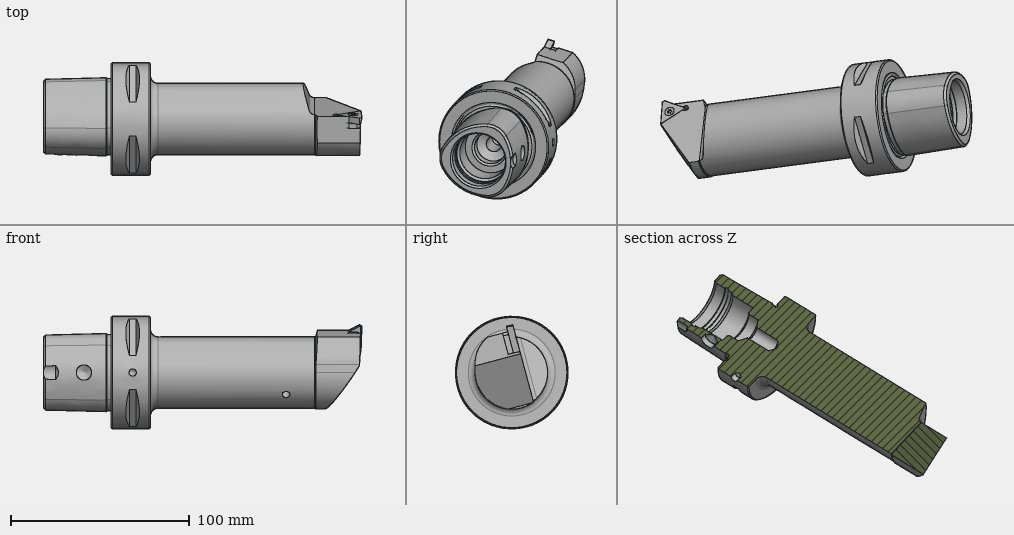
import cadquery as cq
import math

flange_face = 37.7
polygon_end = 35.6
lobe_reach = 23.23
flat_reach = 20.6
lobe_radius = 13.4
taper_angle = math.degrees(math.atan(0.05 / 2))
shank_front_chamfer = 1.2
shank_rear_chamfer = 0.5
neck_step = 0.5
face_groove_radius = 23.1
face_groove_size = 1.0

mouth_radius = 16.0
entry_radius = 15.1
grip_bore_radius = 28.0 / 2
socket_mouth_radius = 10.1
socket_radius = 18.0 / 2
coolant_radius = 8.5 / 2
mouth_chamfer_depth = 1.8
grip_groove_start = 7.8
grip_groove_end = 10.3
grip_cone_start = 12.6
grip_bore_start = 14.6
bore_floor = 28.5
socket_chamfer_depth = 1.0
socket_end = 35.6
coolant_end = 53.4
drill_point_angle = 118.0

cross_hole_diameter = 8.5
cross_hole_x = 22.6
cross_hole_depth = 4.0
notch_end = 6.8
notch_diameter = 12.5
notch_axis_y = -24.5
notch_point_angle = 90.0
chip_hole_diameter = 4.1
chip_hole_depth = 3.5

flange_diameter = 63.0
flange_width = 22.0
flange_chamfer = 0.7
grip_slot_x = 49.8
grip_slot_floor_width = 3.5
grip_slot_floor = 28.0
grip_slot_angle = 60.0
grip_slot_count = 4

bar_diameter = 40.0
bar_fillet = 4.3
bar_end = 151.5
side_hole_diameter = 4.3
side_hole_x = 135.6
side_hole_angle = 38.0
side_hole_depth = 10.7

head_tilt = 15.0
head_end = 177.3
face_offset = 7.5
head_top = 22.6
land_width = 15.3
head_radius = 20.5
side_flat_top = 4.6
side_arc_radius = 18.7
collar_end = 152.0
cone_rise = 5.0
cone_length = 1.5
end_clearance = 1.0
relief_foot = (157.5, -19.2)
relief_head = (176.5, 8.9)
runout_angle = 18.0
runout_start = 149.2
runout_fillet = 3.2

insert_side = 16.5
insert_tip = (178.0, 25.0)
insert_turn = 2.0
insert_thickness = 3.7
insert_clearance = 12.0
shim_thickness = 3.0
nose_flat = 1.6
shim_end = 176.8
shim_bevel = (175.2, 21.0)
screw_head_diameter = 5.5
screw_diameter = 3.2
screw_head_height = 1.8
screw_length = 10.7
socket_diameter = 2.5
socket_depth = 0.9
corner_relief_diameter = 3.2

flange_radius = flange_diameter / 2
bar_radius = bar_diameter / 2
flange_back = flange_face + flange_width


def polar(radius, degrees):
    """Point at a radius and an angle from the local x axis."""
    angle = math.radians(degrees)
    return (radius * math.cos(angle), radius * math.sin(angle))


def tilted(shape):
    """Turn a shape built upright, cutting side towards +Y, to the lean of the head."""
    return shape.rotate((0, 0, 0), (1, 0, 0), head_tilt)


def across_section(x):
    """Plane square to X, its local axes along Y and Z."""
    return cq.Workplane("YZ", origin=(x, 0, 0))


def drill(diameter, depth, point_angle=drill_point_angle):
    """Drill along +Z from the origin to a depth, with its point beyond."""
    radius = diameter / 2
    point = radius / math.tan(math.radians(point_angle / 2))
    outline = [(0, 0), (radius, 0), (radius, depth), (0, depth + point)]
    return cq.Workplane("XZ").polyline(outline).close().revolve(360, (0, 0, 0), (0, 1, 0))


def lobed_outline(x, inset):
    """Closed outline at x of three lobe arcs and three flatter arcs, joined tangentially."""
    lobe_tip = lobe_reach - inset
    side_middle = flat_reach - inset
    radius = lobe_radius - inset
    lobe_centre = lobe_tip - radius
    gap = side_middle - radius
    side_centre = (lobe_centre**2 - gap**2) / (2 * gap - lobe_centre)
    side_x, side_y = polar(side_centre, 240)
    joint_dx, joint_dy = polar(radius, math.degrees(math.atan2(-side_y, lobe_centre - side_x)))
    joint_reach = math.hypot(lobe_centre + joint_dx, joint_dy)
    joint = math.degrees(math.atan2(joint_dy, lobe_centre + joint_dx))

    outline = across_section(x).moveTo(*polar(joint_reach, -joint))
    for lobe in (0, 120, 240):
        outline = outline.threePointArc(polar(lobe_tip, lobe), polar(joint_reach, lobe + joint))
        outline = outline.threePointArc(
            polar(side_middle, lobe + 60), polar(joint_reach, lobe + 120 - joint)
        )
    return outline.close()


def shank():
    body = lobed_outline(polygon_end, 0).extrude(-polygon_end, taper=taper_angle)
    body = body.faces("<X").chamfer(shank_front_chamfer)
    body = body.faces(">X").chamfer(shank_rear_chamfer)
    neck = lobed_outline(polygon_end, neck_step).extrude(flange_face - polygon_end)
    return body.union(neck)


def flange_and_bar():
    bar_fillet_end = flange_back + bar_fillet
    slant = math.sqrt(0.5)
    profile = (
        cq.Workplane("XY")
        .moveTo(flange_face, 0)
        .lineTo(flange_face, flange_radius - flange_chamfer)
        .lineTo(flange_face + flange_chamfer, flange_radius)
        .lineTo(flange_back - flange_chamfer, flange_radius)
        .lineTo(flange_back, flange_radius - flange_chamfer)
        .lineTo(flange_back, bar_radius + bar_fillet)
        .threePointArc(
            (bar_fillet_end - bar_fillet * slant, bar_radius + bar_fillet * (1 - slant)),
            (bar_fillet_end, bar_radius),
        )
        .lineTo(bar_end, bar_radius)
        .lineTo(bar_end, 0)
        .close()
    )
    body = profile.revolve(360, (0, 0, 0), (1, 0, 0))
    ring_groove = (
        cq.Workplane("XY", origin=(flange_face, face_groove_radius, 0))
        .circle(face_groove_size)
        .revolve(360, (0, -face_groove_radius, 0), (1, -face_groove_radius, 0))
    )
    return body.cut(ring_groove)


def runout():
    """Flat along the cutting side, ending in a leaning wall with a filleted root."""
    wall_rise = 26.7
    wall_run = wall_rise * math.tan(math.radians(runout_angle))
    outline = [
        (runout_start, face_offset),
        (head_end + 8.9, face_offset),
        (head_end + 8.9, face_offset + wall_rise),
        (runout_start - wall_run, face_offset + wall_rise),
    ]
    cutter = cq.Workplane("XY").polyline(outline).close().extrude(35.6, both=True)
    root = cq.selectors.NearestToPointSelector((runout_start, face_offset, 0))
    return tilted(cutter.edges("|Z").edges(root).fillet(runout_fillet))


def bore():
    profile = [
        (0, 0),
        (0, mouth_radius),
        (mouth_chamfer_depth, entry_radius),
        (grip_groove_start, entry_radius),
        (grip_groove_start, mouth_radius),
        (grip_groove_end, mouth_radius),
        (grip_groove_end, entry_radius),
        (grip_cone_start, entry_radius),
        (grip_bore_start, grip_bore_radius),
        (bore_floor, grip_bore_radius),
        (bore_floor, socket_mouth_radius),
        (bore_floor + socket_chamfer_depth, socket_radius),
        (socket_end, socket_radius),
    ]
    point_slope = math.tan(math.radians(drill_point_angle / 2))
    coolant_start = socket_end + (socket_radius - coolant_radius) / point_slope
    profile += [
        (coolant_start, coolant_radius),
        (coolant_end, coolant_radius),
        (coolant_end + coolant_radius / point_slope, 0),
    ]
    return cq.Workplane("XY").polyline(profile).close().revolve(360, (0, 0, 0), (1, 0, 0))


def side_drill(diameter, depth, x, surface, below=0):
    """Drill into the -Y side at x, from a surface at a distance from the axis."""
    start = 3.5
    tool = drill(diameter, start + depth).rotate((0, 0, 0), (1, 0, 0), -90)
    return tool.translate((x, -surface - start, 0)).rotate((0, 0, 0), (1, 0, 0), below)


def keyway_notch():
    tool = drill(notch_diameter, notch_end, notch_point_angle).rotate((0, 0, 0), (0, 1, 0), 90)
    return tool.translate((0, notch_axis_y, 0))


def grip_slots():
    depth = flange_radius - grip_slot_floor + 1.8
    half_floor = grip_slot_floor_width / 2
    half_top = half_floor + depth * math.tan(math.radians(grip_slot_angle / 2))
    outline = [(-half_floor, 0), (half_floor, 0), (half_top, depth), (-half_top, depth)]
    slot = (
        cq.Workplane("XZ")
        .polyline(outline)
        .close()
        .extrude(flange_radius, both=True)
        .translate((grip_slot_x, 0, grip_slot_floor))
    )
    step = 360 / grip_slot_count
    return [slot.rotate((0, 0, 0), (1, 0, 0), (i + 0.5) * step) for i in range(grip_slot_count)]


def adapter():
    body = flange_and_bar().union(shank()).cut(runout()).cut(bore())
    body = body.cut(side_drill(cross_hole_diameter, cross_hole_depth, cross_hole_x, flat_reach))
    body = body.cut(side_drill(chip_hole_diameter, chip_hole_depth, grip_slot_x, flange_radius))
    body = body.cut(
        side_drill(side_hole_diameter, side_hole_depth, side_hole_x, bar_radius, side_hole_angle)
    )
    body = body.cut(keyway_notch())
    for slot in grip_slots():
        body = body.cut(slot)
    return body


def end_trim(corner, lean_across, lean_up):
    """Space in front of a face that leans back from a corner, given as X and height."""
    corner_x, corner_z = corner
    space = (
        cq.Workplane("XY")
        .box(17.8, 106.8, 106.8, centered=(False, True, True))
        .rotate((0, 0, 0), (0, 0, 1), -lean_across)
        .rotate((0, 0, 0), (0, 1, 0), lean_up)
        .translate((corner_x, face_offset, corner_z))
    )
    return tilted(space)


def head_blank():
    def section_point(across, up):
        """World Y and Z of a point given in the tilted head."""
        angle = math.radians(head_tilt)
        return (
            across * math.cos(angle) - up * math.sin(angle),
            across * math.sin(angle) + up * math.cos(angle),
        )

    face_foot = section_point(face_offset, -math.sqrt(head_radius**2 - face_offset**2))
    face_top = section_point(face_offset, head_top)
    land_end = section_point(face_offset - land_width, head_top)
    side_top = (-head_radius, side_flat_top)
    block = (
        across_section(bar_end)
        .moveTo(*face_foot)
        .lineTo(*face_top)
        .lineTo(*land_end)
        .radiusArc(side_top, -side_arc_radius)
        .lineTo(-head_radius, 0)
        .threePointArc(polar(head_radius, 230), face_foot)
        .close()
        .extrude(head_end - bar_end)
    )

    envelope = (
        cq.Workplane("XY")
        .moveTo(bar_end, 0)
        .lineTo(bar_end, bar_radius)
        .lineTo(collar_end, bar_radius)
        .lineTo(collar_end + cone_length, bar_radius + cone_rise)
        .lineTo(head_end, bar_radius + cone_rise)
        .lineTo(head_end, 0)
        .close()
        .revolve(360, (0, 0, 0), (1, 0, 0))
    )
    block = block.intersect(envelope)

    clear_x = head_end + 8.9
    clear_z = -2 * head_radius
    relief = (
        cq.Workplane("XZ")
        .polyline([relief_foot, relief_head, (clear_x, relief_head[1]), (clear_x, clear_z), (relief_foot[0], clear_z)])
        .close()
        .extrude(35.6, both=True)
    )
    block = block.cut(tilted(relief))
    return block.cut(end_trim((head_end, head_top), end_clearance, end_clearance))


def head():
    rear_x, rear_z = insert_corners()[2]
    corner_relief = (
        cq.Workplane("XZ", origin=(rear_x, face_offset, rear_z))
        .circle(corner_relief_diameter / 2)
        .extrude(insert_thickness)
    )
    body = head_blank().cut(insert_prism(0, insert_thickness + shim_thickness))
    return body.cut(tilted(corner_relief)).cut(screw_blank())


def insert_corners():
    """Both nose ends, the rear corner and the lower corner of the insert, as X and height."""
    down = 270 - insert_turn
    tip_x, tip_z = insert_tip
    nose_dx, nose_dz = polar(nose_flat, down)
    apex = (tip_x - nose_dx, tip_z - nose_dz)

    def from_apex(length, degrees):
        dx, dz = polar(length, degrees)
        return (apex[0] + dx, apex[1] + dz)

    rear = down - 60
    return [insert_tip, from_apex(nose_flat, rear), from_apex(insert_side, rear), from_apex(insert_side, down)]


def insert_prism(depth, thickness):
    """Triangular plate lying at a depth below the cutting side."""
    plate = cq.Workplane("XZ", origin=(0, face_offset - depth, 0))
    return tilted(plate.polyline(insert_corners()).close().extrude(thickness))


def below_face(tool):
    """Set a tool that works along +Z square into the middle of the insert."""
    nose, _, rear, low = insert_corners()
    middle_x = (nose[0] + rear[0] + low[0]) / 3
    middle_z = (nose[1] + rear[1] + low[1]) / 3
    turned = tool.rotate((0, 0, 0), (1, 0, 0), 90)
    return tilted(turned.translate((middle_x, face_offset, middle_z)))


def screw_blank():
    outline = [
        (0, 0),
        (screw_head_diameter / 2, 0),
        (screw_diameter / 2, screw_head_height),
        (screw_diameter / 2, screw_length),
        (0, screw_length),
    ]
    blank = cq.Workplane("XZ").polyline(outline).close().revolve(360, (0, 0, 0), (0, 1, 0))
    return below_face(blank)


def insert_screw():
    socket = cq.Workplane("XY").polygon(6, socket_diameter).extrude(socket_depth)
    return screw_blank().cut(below_face(socket))


def insert():
    plate = insert_prism(0, insert_thickness).cut(screw_blank())
    return plate.cut(end_trim(insert_tip, insert_clearance, insert_turn))


def shim():
    """Plate under the insert, cropped level with the land and bevelled at the front."""
    bevel_x, bevel_z = shim_bevel
    outline = [
        (bar_end, head_top),
        (bevel_x, head_top),
        (shim_end, bevel_z),
        (shim_end, -head_top),
        (bar_end, -head_top),
    ]
    limits = cq.Workplane("XZ").polyline(outline).close().extrude(head_top, both=True)
    plate = insert_prism(insert_thickness, shim_thickness)
    return plate.intersect(tilted(limits)).cut(screw_blank())


result = cq.Compound.makeCompound(
    [adapter().val(), head().val(), insert().val(), shim().val(), insert_screw().val()]
)